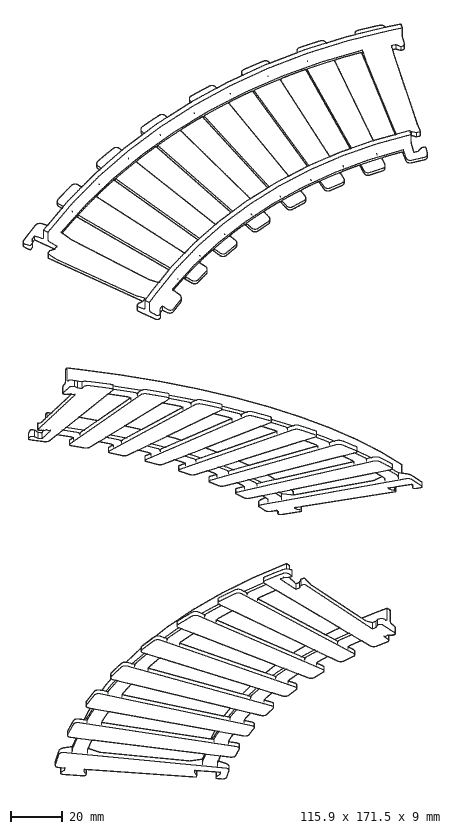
import cadquery as cq
TRACK_ANGLE = 45.0
MID_RADIUS = 199.9
GAUGE = 52.0
OUTER_RADIUS = MID_RADIUS + GAUGE / 2
INNER_RADIUS = MID_RADIUS - GAUGE / 2

RAIL_TOP = 9.0
FOOT_TOP = 3.1
FOOT_WIDTH = 6.0
WEB_WIDTH = 2.0
WEB_FILLET = 1.0

SLEEPER_COUNT = 8
SLEEPER_ANGLE = 3.0
SLEEPER_PITCH = (TRACK_ANGLE - SLEEPER_ANGLE) / (SLEEPER_COUNT - 1)
SLEEPER_THICKNESS = 1.7
SLEEPER_CORNER = 1.7
UNDER_FILLET = 1.0
RAMP_WIDTH = 5.0
PAD_REACH = FOOT_WIDTH / 2 + RAMP_WIDTH

JOINT_LENGTH = 5.1
JOINT_WIDTH = 10.1
NECK_WIDTH = 7.7
NECK_LENGTH = 1.7
FLARE_LENGTH = 1.7
TAB_CORNER = 1.2
LIP_CORNER = 0.5


def rail_section(radius):
    """Rail section in the XZ plane, on the -X side of the track centre."""
    web = WEB_WIDTH / 2
    foot = FOOT_WIDTH / 2
    fillet_foot = web + WEB_FILLET
    fillet_top = FOOT_TOP + WEB_FILLET
    return (
        cq.Workplane("XZ", origin=(-radius, 0, 0))
        .moveTo(-foot, 0)
        .lineTo(foot, 0)
        .lineTo(foot, FOOT_TOP)
        .lineTo(fillet_foot, FOOT_TOP)
        .radiusArc((web, fillet_top), WEB_FILLET)
        .lineTo(web, RAIL_TOP)
        .lineTo(-web, RAIL_TOP)
        .lineTo(-web, fillet_top)
        .radiusArc((-fillet_foot, FOOT_TOP), WEB_FILLET)
        .lineTo(-foot, FOOT_TOP)
        .close()
    )


def ramp_section(radius):
    """Solid bed under a rail end, sloping from the rail foot down to the sleeper."""
    foot = FOOT_WIDTH / 2
    return (
        cq.Workplane("XZ", origin=(-radius, 0, 0))
        .moveTo(-PAD_REACH, 0)
        .lineTo(PAD_REACH, 0)
        .lineTo(PAD_REACH, SLEEPER_THICKNESS)
        .lineTo(foot, FOOT_TOP)
        .lineTo(-foot, FOOT_TOP)
        .lineTo(-PAD_REACH, SLEEPER_THICKNESS)
        .close()
    )


def sweep_along_track(section, radius, angle):
    """Turn a section about the Z axis, clockwise from the near end."""
    return section.revolve(angle, (radius, 0, 0), (radius, -1, 0))


def turned(shape, angle):
    """Move a shape along the track by an angle."""
    return shape.rotate((0, 0, 0), (0, 0, 1), -angle)


def sleeper_sector(height):
    """Sharp-cornered sleeper at the near end, bounded by two radial sides."""
    width = GAUGE + 2 * PAD_REACH
    far_radius = OUTER_RADIUS + PAD_REACH
    section = cq.Workplane("XZ", origin=(-far_radius, 0, 0)).rect(width, height, centered=False)
    return sweep_along_track(section, far_radius, SLEEPER_ANGLE)


def sleeper_blank(height):
    return sleeper_sector(height).edges("|Z").fillet(SLEEPER_CORNER)


def first_gap():
    """Empty space between the first two sleepers, rounded where it meets the rails above."""
    gap = turned(sleeper_sector(SLEEPER_THICKNESS), SLEEPER_ANGLE)
    return gap.edges(">Z").edges("%LINE").fillet(UNDER_FILLET)


def joint_outline(radius, direction):
    """Dovetail outline from the end plane: direction -1 for a tab, 1 for a socket."""
    neck = NECK_WIDTH / 2
    head = JOINT_WIDTH / 2
    flare_start = direction * NECK_LENGTH
    flare_end = direction * (NECK_LENGTH + FLARE_LENGTH)
    tip = direction * JOINT_LENGTH
    return (
        cq.Workplane("XY")
        .center(-radius, 0)
        .moveTo(-neck, 0)
        .lineTo(-neck, flare_start)
        .lineTo(-head, flare_end)
        .lineTo(-head, tip)
        .lineTo(head, tip)
        .lineTo(head, flare_end)
        .lineTo(neck, flare_start)
        .lineTo(neck, 0)
        .close()
    )


def end_sleeper():
    """Near-end sleeper with a raised bed under each rail."""
    sleeper = sleeper_blank(SLEEPER_THICKNESS)
    raised = sleeper_blank(FOOT_TOP)
    for radius in (OUTER_RADIUS, INNER_RADIUS):
        bed = sweep_along_track(ramp_section(radius), radius, SLEEPER_ANGLE)
        sleeper = sleeper.union(bed.intersect(raised))
    return sleeper


def tab(radius):
    """Straight run of rail past the end plane, on a dovetail bed."""
    bed = joint_outline(radius, -1).extrude(FOOT_TOP)
    bed = bed.edges("|Z and <Y").fillet(TAB_CORNER)
    bed = bed.intersect(ramp_section(radius).extrude(JOINT_LENGTH))
    return bed.union(rail_section(radius).extrude(JOINT_LENGTH))


def socket(radius):
    """Cutter that matches the tab, with rounded lips at its mouth."""
    pocket = joint_outline(radius, 1).extrude(RAIL_TOP)
    lip_span = NECK_WIDTH + 2 * LIP_CORNER
    mouth = (
        cq.Workplane("XY", origin=(-radius - lip_span / 2, 0, 0))
        .rect(lip_span, LIP_CORNER, centered=False)
        .extrude(RAIL_TOP)
    )
    lips = (
        cq.Workplane("XY", origin=(-radius, LIP_CORNER, 0))
        .pushPoints([(-lip_span / 2, 0), (lip_span / 2, 0)])
        .circle(LIP_CORNER)
        .extrude(RAIL_TOP)
    )
    return pocket.union(mouth.cut(lips))


def to_far_end(shape):
    """Carry a near-end feature to the other end of the track."""
    return turned(shape.mirror("XZ"), TRACK_ANGLE)


track = sweep_along_track(rail_section(OUTER_RADIUS), OUTER_RADIUS, TRACK_ANGLE)
track = track.union(sweep_along_track(rail_section(INNER_RADIUS), INNER_RADIUS, TRACK_ANGLE))

gap = first_gap()
for index in range(SLEEPER_COUNT - 1):
    track = track.cut(turned(gap, index * SLEEPER_PITCH))
for index in range(1, SLEEPER_COUNT - 1):
    track = track.union(turned(sleeper_blank(SLEEPER_THICKNESS), index * SLEEPER_PITCH))

track = track.union(end_sleeper()).union(tab(INNER_RADIUS))
track = track.union(to_far_end(end_sleeper())).union(to_far_end(tab(OUTER_RADIUS)))
result = track.cut(socket(OUTER_RADIUS)).cut(to_far_end(socket(INNER_RADIUS)))